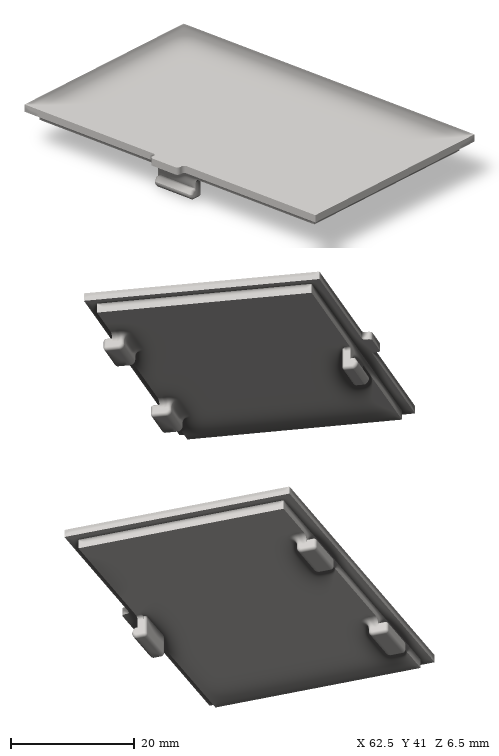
import cadquery as cq

plate_width = 62.5
plate_depth = 39.5
plate_thickness = 1.3

tab_width = 6.0
tab_reach = 1.5
tab_radius = 0.55

step_inset = 1.75
step_bottom = -2.9
step_width = plate_width - 2 * step_inset
step_front = step_inset
step_back = plate_depth - step_inset

clip_width = 8.05
clip_thickness = 1.5
clip_bottom = -6.5
clip_round = 0.5
clip_root_radius = 0.55
nose_reach = 1.1
nose_top = -4.55
nose_tip = -5.4
nose_flat = 0.6
nose_round = 1.1
nose_underside_run = 0.75

hook_spacing = 30.9
hook_width = 8.1
hook_length = 3.45
hook_back_gap = 0.2
hook_top = -3.45
hook_bottom = -5.5
hook_round = 0.5
hook_toe_round = 0.9
hook_root_radius = 1.25
hook_back = plate_depth - hook_back_gap
hook_front = hook_back - hook_length

overlap = 0.3


def block(width, y_front, y_back, z_bottom, z_top):
    """Box centred in X between the given Y and Z limits."""
    size = (width, y_back - y_front, z_top - z_bottom)
    corner = (-width / 2, y_front, z_bottom)
    return cq.Workplane("XY").box(*size, centered=False).translate(corner)


def make_plate():
    plate = block(plate_width, 0, plate_depth, -plate_thickness, 0)
    tab = block(tab_width, -tab_reach, overlap, -plate_thickness, 0)
    tab = tab.edges("|Z and <Y").fillet(tab_radius)
    plate = plate.union(tab)
    tab_roots = cq.selectors.BoxSelector(
        (-tab_width, -tab_radius / 2, -plate_thickness),
        (tab_width, tab_radius / 2, 0),
    )
    return plate.edges("|Z").edges(tab_roots).fillet(tab_radius)


def make_step():
    return block(step_width, step_front, step_back, step_bottom, -plate_thickness)


def make_clip():
    """Leg with a forward nose, rounded along the back, the bottom and the nose ends."""
    leg_back = step_front + clip_thickness
    nose_end = step_front - nose_reach
    clip = (
        cq.Workplane("YZ")
        .moveTo(leg_back, step_bottom)
        .lineTo(step_front, step_bottom)
        .lineTo(step_front, nose_top)
        .lineTo(step_front - nose_flat, nose_top)
        .lineTo(nose_end, nose_tip)
        .radiusArc((nose_end + nose_underside_run, clip_bottom), -nose_round)
        .lineTo(leg_back, clip_bottom)
        .close()
        .extrude(clip_width / 2, both=True)
    )
    clip = clip.edges("|X and >Y and <Z").fillet(clip_round)
    end_rims = cq.selectors.BoxSelector(
        (-clip_width, nose_end - overlap, clip_bottom - overlap),
        (clip_width, leg_back + overlap, nose_top + overlap),
    )
    return clip.faces("<X or >X").edges(end_rims).fillet(clip_round)


def make_clip_root():
    """Concave flare where the two sides of the clip leg meet the step."""
    half_width = clip_width / 2
    flare = half_width + clip_root_radius
    flare_bottom = step_bottom - clip_root_radius
    root_depth = clip_thickness - clip_round
    return (
        cq.Workplane("XZ", origin=(0, step_front, 0))
        .moveTo(-flare, step_bottom)
        .radiusArc((-half_width, flare_bottom), clip_root_radius)
        .lineTo(half_width, flare_bottom)
        .radiusArc((flare, step_bottom), clip_root_radius)
        .close()
        .extrude(-root_depth)
    )


def make_hook_neck():
    """Neck with a flared root on its front and two sides."""
    base_width = hook_width + 4 * hook_root_radius
    base_front = hook_front - 2 * hook_root_radius
    base = block(base_width, base_front, step_back, step_bottom, -plate_thickness)
    neck_bottom = hook_bottom + hook_toe_round
    neck = block(hook_width, hook_front, step_back, neck_bottom, step_bottom)
    neck = neck.edges("|Z and <Y").fillet(hook_round)
    neck = base.union(neck)
    root_plane = cq.selectors.BoxSelector(
        (-hook_width / 2 - overlap, hook_front - overlap, step_bottom - overlap / 2),
        (hook_width / 2 + overlap, step_back - overlap, step_bottom + overlap / 2),
    )
    return neck.edges(root_plane).fillet(hook_root_radius)


def make_hook():
    foot = block(hook_width, hook_front, hook_back, hook_bottom, hook_top)
    foot = foot.edges("|X and <Y and <Z").fillet(hook_toe_round)
    foot = foot.faces("<X or >X or >Y").edges().fillet(hook_round)
    return foot.union(make_hook_neck())


result = make_plate().union(make_step()).union(make_clip()).union(make_clip_root())
for side in (-1, 1):
    result = result.union(make_hook().translate((side * hook_spacing / 2, 0, 0)))